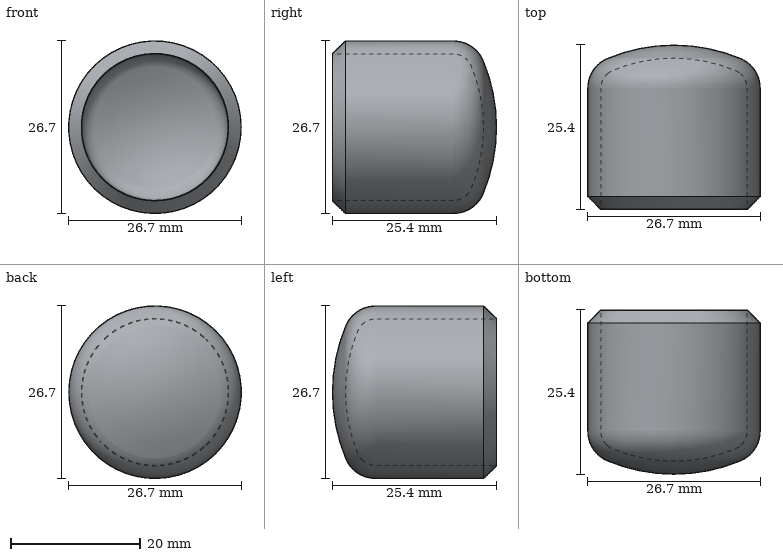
import cadquery as cq
import math

outer_radius = 13.35
height = 25.4
wall = 2.03
shoulder_start = 18.72
shoulder_radius = 5.0
chamfer_length = 2.0
chamfer_depth = 1.95

shoulder_x = outer_radius - shoulder_radius

crown_rise = height - shoulder_start
dome_radius = (shoulder_x**2 + crown_rise**2 - shoulder_radius**2) / (
    2 * (crown_rise - shoulder_radius)
)
dome_center = height - dome_radius

junction_angle = math.asin(shoulder_x / (dome_radius - shoulder_radius))


def dome_point(angle, inset):
    """Point on the dome, moved inwards by inset, at an angle from the axis."""
    radius = dome_radius - inset
    return radius * math.sin(angle), dome_center + radius * math.cos(angle)


def shoulder_middle(inset):
    """Middle of the shoulder arc, moved inwards by inset."""
    angle = (junction_angle + math.pi / 2) / 2
    radius = shoulder_radius - inset
    return shoulder_x + radius * math.sin(angle), shoulder_start + radius * math.cos(angle)


half_section = (
    cq.Workplane("XY")
    .moveTo(outer_radius - chamfer_depth, 0)
    .lineTo(outer_radius, chamfer_length)
    .lineTo(outer_radius, shoulder_start)
    .threePointArc(shoulder_middle(0), dome_point(junction_angle, 0))
    .threePointArc(dome_point(junction_angle / 2, 0), (0, height))
    .lineTo(0, height - wall)
    .threePointArc(dome_point(junction_angle / 2, wall), dome_point(junction_angle, wall))
    .threePointArc(shoulder_middle(wall), (outer_radius - wall, shoulder_start))
    .lineTo(outer_radius - wall, 0)
    .close()
)

result = half_section.revolve(360, (0, 0, 0), (0, 1, 0))